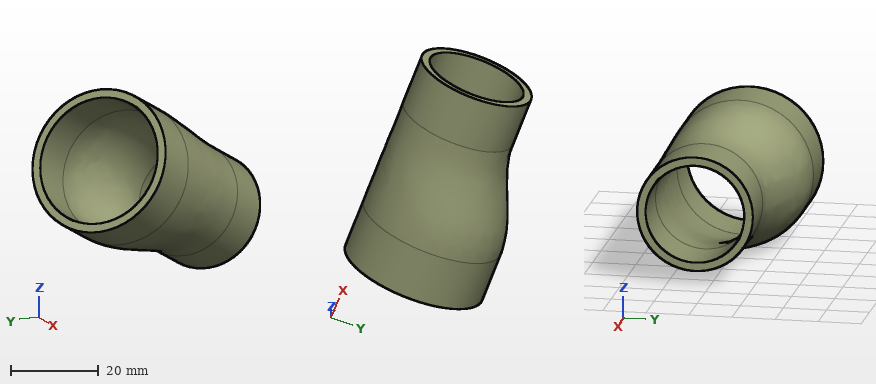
import cadquery as cq
import math

total_length = 50.0
collar_length = 12.0
large_diameter = 33.7
small_diameter = 26.9
wall = 2.0
section_count = 9

taper_length = total_length - 2 * collar_length
axis_shift = (small_diameter - large_diameter) / 2


def pipe_body(start_diameter, end_diameter):
    """Solid of two straight collars joined by a smooth S-shaped taper."""

    def disc(x, y, diameter):
        return cq.Workplane("YZ", origin=(x, y, 0)).circle(diameter / 2)

    large_collar = disc(0, 0, start_diameter).extrude(collar_length)
    small_collar = disc(total_length - collar_length, axis_shift, end_diameter).extrude(collar_length)

    wires = []
    for i in range(section_count):
        along = i / (section_count - 1)
        blend = (1 - math.cos(math.pi * along)) / 2
        diameter = start_diameter + (end_diameter - start_diameter) * blend
        section = disc(collar_length + taper_length * along, axis_shift * blend, diameter)
        wires.append(section.wires().val())
    taper = cq.Workplane(cq.Solid.makeLoft(wires))

    return large_collar.union(taper).union(small_collar)


outer = pipe_body(large_diameter, small_diameter)
bore = pipe_body(large_diameter - 2 * wall, small_diameter - 2 * wall)
result = outer.cut(bore)